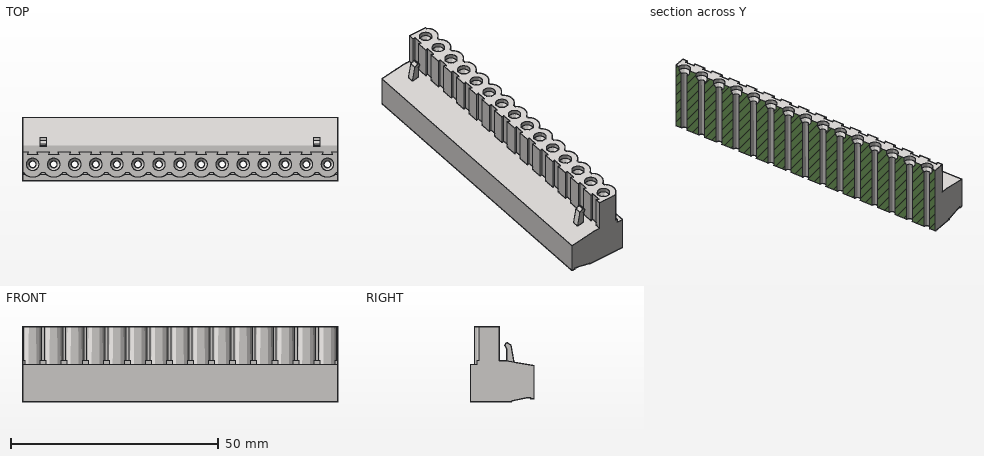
import cadquery as cq

poles = 15
pitch = 5.08
length = 76.09
depth = 15.33
height = 18.15

last_hole_inset = pitch / 2
first_hole_x = length - last_hole_inset - (poles - 1) * pitch
hole_y = 4.0

shelf_z = 9.0
back_top_z = 8.75
ridge_z = 9.9
ridge_y = 8.5
belly_y = 9.9
belly_step = 0.15
relief_y = 13.6
relief_z = 0.95
lip_y = 14.5
lip_z = 0.7

column_back_y = 6.98
bump_front_y = 0.93
groove_y = 2.06
groove_width = 0.7
bump_flat_width = 0.6
bump_radius = 2.4
foot_front_y = 1.6
foot_width = 1.65
foot_top_z = ridge_z

notch_depth = 0.65
notch_mouth_width = 2.06
notch_floor_width = 2.5

entry_diameter = 3.0
entry_depth = 1.1
bore_diameter = 1.6
cone_depth = 0.8

latch_width = 1.6
latch_root_z = 8.0
latch_front_y = 8.7
latch_root_back_y = 10.8
hook_start_z = 12.8
nose_y = 8.25
nose_z = 13.6
tip_front_y = 8.55
tip_front_z = 14.2
tip_y = 8.9
tip_z = 14.25
shoulder_y = 9.8
shoulder_z = 13.65
latch_gaps = (1, poles - 1)


def hole_x(index):
    return first_hole_x + index * pitch


def make_body():
    profile = [
        (0, 0),
        (belly_y, 0),
        (belly_y, belly_step),
        (relief_y, relief_z),
        (lip_y, relief_z),
        (lip_y, lip_z),
        (depth, lip_z),
        (depth, back_top_z),
        (ridge_y, ridge_z),
        (column_back_y, ridge_z),
        (column_back_y, height),
        (groove_y, height),
        (groove_y, shelf_z),
        (0, shelf_z),
    ]
    return cq.Workplane("YZ").polyline(profile).close().extrude(length)


def make_bump(x):
    """Rounded front of one column: two arcs either side of a narrow flat."""
    half_flat = bump_flat_width / 2
    half_base = (pitch - groove_width) / 2
    return (
        cq.Workplane("XY", origin=(x, 0, shelf_z))
        .moveTo(-half_base, hole_y)
        .lineTo(-half_base, groove_y)
        .radiusArc((-half_flat, bump_front_y), -bump_radius)
        .lineTo(half_flat, bump_front_y)
        .radiusArc((half_base, groove_y), -bump_radius)
        .lineTo(half_base, hole_y)
        .close()
        .extrude(height - shelf_z)
    )


def make_foot(x):
    """Small block closing the bottom of the groove between two bumps."""
    return (
        cq.Workplane("XY", origin=(x, foot_front_y, shelf_z))
        .box(foot_width, hole_y - foot_front_y, foot_top_z - shelf_z, centered=(True, False, False))
    )


def make_notch(x):
    half_mouth = notch_mouth_width / 2
    half_floor = notch_floor_width / 2
    floor_y = column_back_y - notch_depth
    return (
        cq.Workplane("XY", origin=(x, 0, ridge_z))
        .polyline([
            (-half_mouth, column_back_y),
            (-half_floor, floor_y),
            (half_floor, floor_y),
            (half_mouth, column_back_y),
        ])
        .close()
        .extrude(height - ridge_z)
    )


def make_screw_hole(x):
    """Straight entry, conical seat and a bore through to the underside."""
    entry_radius = entry_diameter / 2
    bore_radius = bore_diameter / 2
    seat_z = height - entry_depth
    return (
        cq.Workplane("XZ")
        .polyline([
            (0, 0),
            (bore_radius, 0),
            (bore_radius, seat_z - cone_depth),
            (entry_radius, seat_z),
            (entry_radius, height),
            (0, height),
        ])
        .close()
        .revolve(360, (0, 0), (0, 1))
        .translate((x, hole_y, 0))
    )


def make_latch(x):
    """Upright hook with its nose pointing forward to the columns."""
    profile = [
        (latch_front_y, latch_root_z),
        (latch_front_y, hook_start_z),
        (nose_y, nose_z),
        (tip_front_y, tip_front_z),
        (tip_y, tip_z),
        (shoulder_y, shoulder_z),
        (latch_root_back_y, latch_root_z),
    ]
    left_x = x - latch_width / 2
    return cq.Workplane("YZ", origin=(left_x, 0, 0)).polyline(profile).close().extrude(latch_width)


result = make_body()
for i in range(poles):
    result = result.union(make_bump(hole_x(i)))
for i in range(poles + 1):
    result = result.union(make_foot(hole_x(i) - pitch / 2))
for gap in latch_gaps:
    result = result.union(make_latch(hole_x(gap) - pitch / 2))
for i in range(poles):
    result = result.cut(make_notch(hole_x(i)))
    result = result.cut(make_screw_hole(hole_x(i)))

envelope = cq.Workplane("XY").box(length, depth, height, centered=False)
result = result.intersect(envelope)